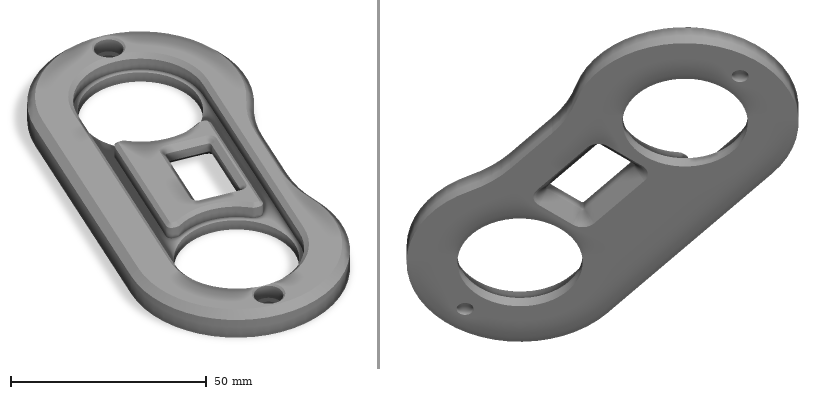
import cadquery as cq
import math

length = 124.0
width = 57.9
thickness = 7.7
end_radius = width / 2
end_x = length / 2 - end_radius
rim_chamfer = 2.0

dip_y = 23.7
dip_half_flat = 8.4

large_hole_diameter = 32.0
recess_radius = 17.2
recess_chamfer = 1.2
floor_z = 3.0

island_half_length = 19.1
island_half_width = 13.3
island_end_radius = 17.4
island_corner_radius = 1.5
island_chamfer = 1.0
island_top_z = 7.3

window_length = 21.3
window_width = 12.5
window_y = 4.0
window_corner_radius = 0.6
window_top_flare = 1.5
window_bottom_flare = 3.2

screw_x = 55.0
screw_hole_diameter = 4.3
counterbore_diameter = 7.5
counterbore_chamfer = 0.5
counterbore_floor_z = 3.3


def at_ends(x, z):
    """Workplane at height z with one point at each of -x and +x."""
    return cq.Workplane("XY").workplane(offset=z).pushPoints([(-x, 0), (x, 0)])


def make_plate():
    """Stadium plate whose +Y edge dips through arcs tangent to the round ends."""
    run = end_x - dip_half_flat
    dip_radius = (run**2 + dip_y**2 - end_radius**2) / (2 * (end_radius - dip_y))
    dip_center_y = dip_y + dip_radius

    angle = math.atan2(dip_center_y, run)
    join_x = end_x - end_radius * math.cos(angle)
    join_y = end_radius * math.sin(angle)

    mid_angle = -(math.pi / 2 + angle) / 2
    mid_x = dip_half_flat + dip_radius * math.cos(mid_angle)
    mid_y = dip_center_y + dip_radius * math.sin(mid_angle)

    outline = (
        cq.Workplane("XY")
        .moveTo(-end_x, -end_radius)
        .lineTo(end_x, -end_radius)
        .threePointArc((length / 2, 0), (join_x, join_y))
        .threePointArc((mid_x, mid_y), (dip_half_flat, dip_y))
        .lineTo(-dip_half_flat, dip_y)
        .threePointArc((-mid_x, mid_y), (-join_x, join_y))
        .threePointArc((-length / 2, 0), (-end_x, -end_radius))
        .close()
    )
    return outline.extrude(thickness).faces(">Z").chamfer(rim_chamfer)


def make_recess():
    """Stadium-shaped cutter with a chamfered mouth."""
    cutter = (
        cq.Workplane("XY")
        .workplane(offset=floor_z)
        .slot2D(2 * (end_x + recess_radius), 2 * recess_radius)
        .extrude(thickness - floor_z)
    )
    mouth = (
        cq.Workplane("XY")
        .workplane(offset=thickness)
        .slot2D(2 * (end_x + recess_radius + recess_chamfer), 2 * (recess_radius + recess_chamfer))
        .extrude(-recess_chamfer, taper=45)
    )
    return cutter.union(mouth)


def make_island():
    """Block with concave ends that follow the large holes, rounded and chamfered on top."""
    height = island_top_z - floor_z
    block = (
        cq.Workplane("XY")
        .workplane(offset=floor_z)
        .rect(2 * island_half_length, 2 * island_half_width)
        .extrude(height)
        .cut(at_ends(end_x, floor_z).circle(island_end_radius).extrude(height))
    )
    block = block.edges("|Z").fillet(island_corner_radius)
    return block.faces(">Z").chamfer(island_chamfer)


def window_profile(margin, z):
    """Rounded rectangle at height z, larger than the window by the margin all round."""
    outline = cq.Sketch().rect(window_length + 2 * margin, window_width + 2 * margin)
    outline = outline.vertices().fillet(window_corner_radius + margin)
    return outline.moved(cq.Location(cq.Vector(0, window_y, z)))


def window_flare(flare, outer_z, inner_z):
    """Cutter that narrows from the face at outer_z to the plain window at inner_z."""
    profiles = (window_profile(flare, outer_z), window_profile(0, inner_z))
    return cq.Workplane("XY").placeSketch(*profiles).loft()


def make_window():
    """Window cutter that flares at 45 degrees towards the island's top and the underside."""
    opening = cq.Workplane("XY").placeSketch(window_profile(0, 0)).extrude(island_top_z)
    top_flare = window_flare(window_top_flare, island_top_z, island_top_z - window_top_flare)
    bottom_flare = window_flare(window_bottom_flare, 0, window_bottom_flare)
    return opening.union(top_flare).union(bottom_flare)


def make_screw_holes():
    """Counterbored through holes with a chamfered mouth."""
    shank = at_ends(screw_x, 0).circle(screw_hole_diameter / 2).extrude(thickness)
    bore_radius = counterbore_diameter / 2
    bore_depth = thickness - counterbore_floor_z
    bore = at_ends(screw_x, counterbore_floor_z).circle(bore_radius).extrude(bore_depth)
    mouth = (
        at_ends(screw_x, thickness)
        .circle(bore_radius + counterbore_chamfer)
        .extrude(-counterbore_chamfer, taper=45)
    )
    return shank.union(bore).union(mouth)


large_holes = at_ends(end_x, 0).circle(large_hole_diameter / 2).extrude(thickness)

result = (
    make_plate()
    .cut(make_recess())
    .union(make_island())
    .cut(large_holes)
    .cut(make_window())
    .cut(make_screw_holes())
)